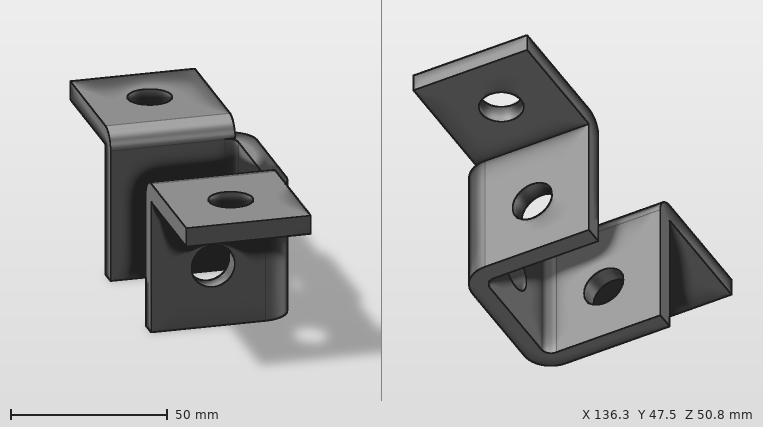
import cadquery as cq

length = 136.3
depth = 47.5
height = 50.8
thickness = 6.3

channel_width = 53.8
inner_bend_radius = 3.4
outer_bend_radius = inner_bend_radius + thickness
channel_height = height - thickness
opening_width = channel_width - 2 * thickness

wing_depth = depth - thickness
wing_length = (length - channel_width) / 2

hole_diameter = 14.3
hole_inset = 20.6
wing_hole_x = length / 2 - hole_inset


def make_channel():
    """Rounded U channel standing on Z = 0, with its leg fronts at Y = 0."""
    outer = (
        cq.Workplane("XY")
        .box(channel_width, depth, channel_height, centered=(True, False, False))
        .edges("|Z and >Y")
        .fillet(outer_bend_radius)
    )
    inner = (
        cq.Workplane("XY")
        .box(opening_width, wing_depth, channel_height, centered=(True, False, False))
        .edges("|Z and >Y")
        .fillet(inner_bend_radius)
    )
    return outer.cut(inner)


def make_right_wing():
    """Flat wing whose inner top edge is rounded down into the channel leg."""
    leg_outer_x = channel_width / 2
    leg_inner_x = leg_outer_x - thickness
    bend = (
        cq.Workplane("XZ", origin=(leg_outer_x, 0, channel_height))
        .circle(thickness)
        .extrude(-wing_depth)
    )
    bend_corner = cq.Workplane("XY", origin=(leg_inner_x, 0, channel_height)).box(
        thickness, wing_depth, thickness, centered=False
    )
    plate = cq.Workplane("XY", origin=(leg_outer_x, 0, channel_height)).box(
        wing_length, wing_depth, thickness, centered=False
    )
    return plate.union(bend.intersect(bend_corner))


def make_hole(plane, center, reach):
    """Bolt-hole cutter reaching both ways from center along the plane normal."""
    return cq.Workplane(plane, origin=center).circle(hole_diameter / 2).extrude(reach, both=True)


right_wing = make_right_wing()
result = make_channel().union(right_wing).union(right_wing.mirror("YZ"))

result = result.cut(make_hole("YZ", (0, hole_inset, hole_inset), channel_width))
result = result.cut(make_hole("XZ", (0, depth, hole_inset), depth))

for side in (-1, 1):
    result = result.cut(make_hole("XY", (side * wing_hole_x, hole_inset, height), height))